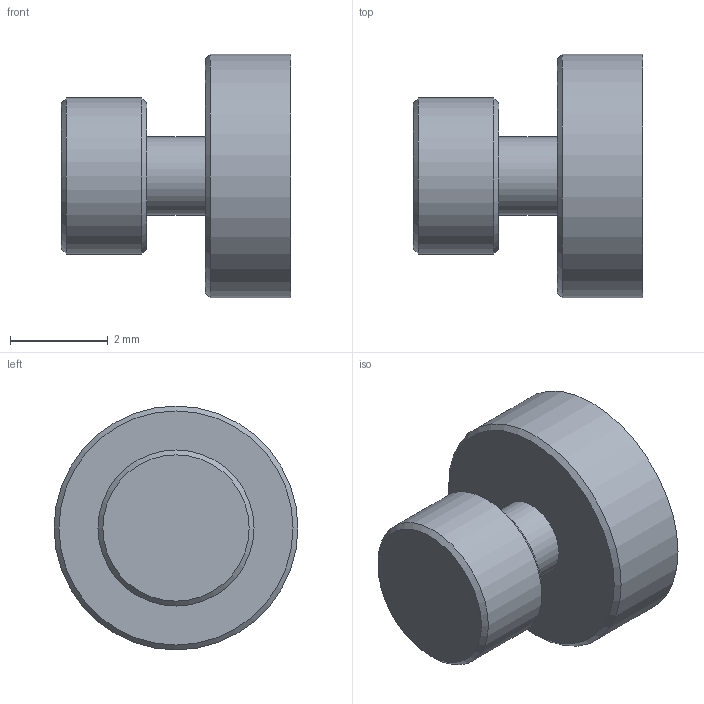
import cadquery as cq

knob_diameter = 3.2
knob_length = 1.75
neck_diameter = 1.6
neck_length = 1.2
flange_diameter = 5.0
flange_length = 1.75
edge_chamfer = 0.1

neck_start = knob_length
flange_start = neck_start + neck_length


def disc(start_x, diameter, length):
    """Cylinder along +X whose first face lies at start_x."""
    return cq.Workplane("YZ", origin=(start_x, 0, 0)).circle(diameter / 2).extrude(length)


def make_knob():
    """Small head, chamfered at both ends."""
    return disc(0, knob_diameter, knob_length).edges().chamfer(edge_chamfer)


def make_neck():
    """Thin plain pin joining the knob to the flange."""
    return disc(neck_start, neck_diameter, neck_length)


def make_flange():
    """Large head, chamfered only on the side facing the knob."""
    return disc(flange_start, flange_diameter, flange_length).faces("<X").edges().chamfer(edge_chamfer)


result = make_knob().union(make_neck()).union(make_flange())